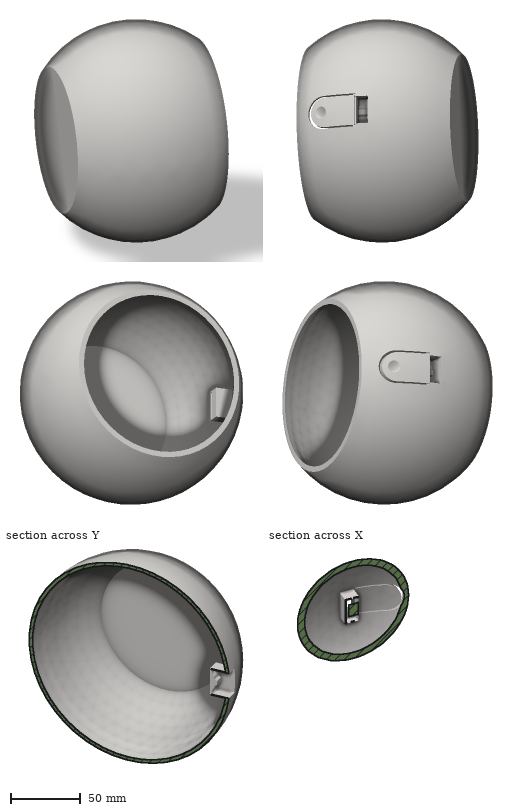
import cadquery as cq
import math

ball_radius = 80.0
wall = 3.0
inner_radius = ball_radius - wall
front_flat_radius = 53.0
back_flat_radius = 62.4
front_y = -math.sqrt(ball_radius**2 - front_flat_radius**2)
back_y = math.sqrt(ball_radius**2 - back_flat_radius**2)

slot_half_height = 12.0
slot_arc_y = 28.0
tab_half_height = 10.9
tab_arc_y = 27.0
slot_end_y = 3.8
slot_through_end_y = 5.8
slot_end_depth = 2.4

dimple_y = 30.0
dimple_rim_radius = 4.5
dimple_depth = 2.0

window_front_y = -5.3
window_back_y = 3.5
window_half_height = 10.0
window_corner_radius = 0.6
tunnel_wall = 1.0
tunnel_depth = 16.0
tunnel_end_x = tunnel_depth - ball_radius

tab_end_y = 4.6
groove_width = 0.3
groove_depth = 2.4
ledge_depth = 1.6

bar_half_width = 3.4
bar_front_depth = 10.4
bar_front_x = bar_front_depth - ball_radius
key_half_height = 1.6
key_foot_half_height = 2.9
key_rise = 2.0
round_end_z = 6.0
round_drop = 1.3
flute_sag = 0.8
bar_arc_tilt = math.radians(45)

cut_margin = 1.6


def box(x_range, y_range, half_height):
    """Box between two X and two Y limits, symmetric about Z = 0."""
    length = x_range[1] - x_range[0]
    width = y_range[1] - y_range[0]
    centre = (sum(x_range) / 2, sum(y_range) / 2, 0)
    return cq.Workplane("XY").box(length, width, 2 * half_height).translate(centre)


def truncated_ball(radius, y_start, y_end):
    """Ball kept only between two planes across Y."""
    start_radius = math.sqrt(radius**2 - y_start**2)
    end_radius = math.sqrt(radius**2 - y_end**2)
    return (
        cq.Workplane("XY")
        .moveTo(0, y_start)
        .lineTo(start_radius, y_start)
        .threePointArc((radius, 0), (end_radius, y_end))
        .lineTo(0, y_end)
        .close()
        .revolve(360, (0, 0), (0, 1))
    )


def round_ended_prism(half_height, arc_y, start_y):
    """Prism along X on the -X side: straight from start_y, with a half-round end towards +Y."""
    return (
        cq.Workplane("YZ", origin=(-ball_radius - cut_margin, 0, 0))
        .moveTo(start_y, -half_height)
        .lineTo(arc_y, -half_height)
        .threePointArc((arc_y + half_height, 0), (arc_y, half_height))
        .lineTo(start_y, half_height)
        .close()
        .extrude(ball_radius / 2)
    )


def tab_slot():
    """U-shaped slot cut through the wall, except for shallow pockets at its two ends."""
    outline = round_ended_prism(slot_half_height, slot_arc_y, slot_end_y)
    slot = outline.cut(round_ended_prism(tab_half_height, tab_arc_y, slot_end_y))
    end_core = box(
        (slot_end_depth - ball_radius, 0),
        (slot_end_y, slot_through_end_y),
        slot_half_height + cut_margin,
    )
    return slot.cut(end_core)


def dimple():
    """Ball that sinks a shallow round dimple into the tab, with one pole facing straight inward."""
    dimple_radius = (dimple_rim_radius**2 + dimple_depth**2) / (2 * dimple_depth)
    centre_distance = ball_radius - dimple_depth + dimple_radius
    angle = math.asin(dimple_y / ball_radius)
    centre = (-centre_distance * math.cos(angle), centre_distance * math.sin(angle), 0)
    return cq.Workplane("XY").sphere(dimple_radius, direct=centre).translate(centre)


def tunnel_block():
    """Outside of the tunnel, trimmed to the ball."""
    block = box(
        (-ball_radius, tunnel_end_x),
        (window_front_y - tunnel_wall, window_back_y + tunnel_wall),
        window_half_height + tunnel_wall,
    )
    return block.intersect(cq.Workplane("XY").sphere(ball_radius - wall / 2))


def window():
    """Opening of the window and tunnel, rounded at its two corners away from the tab."""
    opening = box(
        (-ball_radius - cut_margin, tunnel_end_x + cut_margin),
        (window_front_y, window_back_y),
        window_half_height,
    )
    return opening.edges("|X and <Y").fillet(window_corner_radius)


def tab_end_step():
    """Groove that marks off the end of the tab, joined to the sunken ledge beside the window."""
    outside_x = -ball_radius - cut_margin
    ledge_back_y = tab_end_y - groove_width
    groove = box((outside_x, groove_depth - ball_radius), (ledge_back_y, tab_end_y), tab_half_height)
    ledge = box((outside_x, ledge_depth - ball_radius), (window_back_y, ledge_back_y), window_half_height)
    return groove.union(ledge)


def fluted_bar():
    """Bar along Z with a raised key, a rounded shoulder and a hollow flute on each side of it."""
    foot_x = bar_front_x + key_rise
    round_end_x = foot_x + round_drop
    half_tilt = bar_arc_tilt / 2
    rise_share = math.sin(half_tilt) / math.sin(bar_arc_tilt)
    drop_share = (1 - math.cos(half_tilt)) / (1 - math.cos(bar_arc_tilt))
    round_mid_z = key_foot_half_height + (round_end_z - key_foot_half_height) * rise_share
    round_mid_x = foot_x + round_drop * drop_share
    flute_mid = (round_end_x + flute_sag, (round_end_z + window_half_height) / 2)
    bar_top = window_half_height + tunnel_wall / 2
    half = (
        cq.Workplane("XZ", origin=(0, bar_half_width, 0))
        .moveTo(tunnel_end_x, 0)
        .lineTo(bar_front_x, 0)
        .lineTo(bar_front_x, key_half_height)
        .lineTo(foot_x, key_foot_half_height)
        .threePointArc((round_mid_x, round_mid_z), (round_end_x, round_end_z))
        .threePointArc(flute_mid, (round_end_x, window_half_height))
        .lineTo(round_end_x, bar_top)
        .lineTo(tunnel_end_x, bar_top)
        .close()
        .extrude(2 * bar_half_width)
    )
    return half.union(half.mirror("XY"))


shell = truncated_ball(ball_radius, front_y, back_y)
shell = shell.cut(truncated_ball(inner_radius, front_y + wall, back_y + cut_margin))
result = (
    shell.union(tunnel_block())
    .cut(window())
    .cut(tab_slot())
    .cut(tab_end_step())
    .cut(dimple())
    .union(fluted_bar())
)